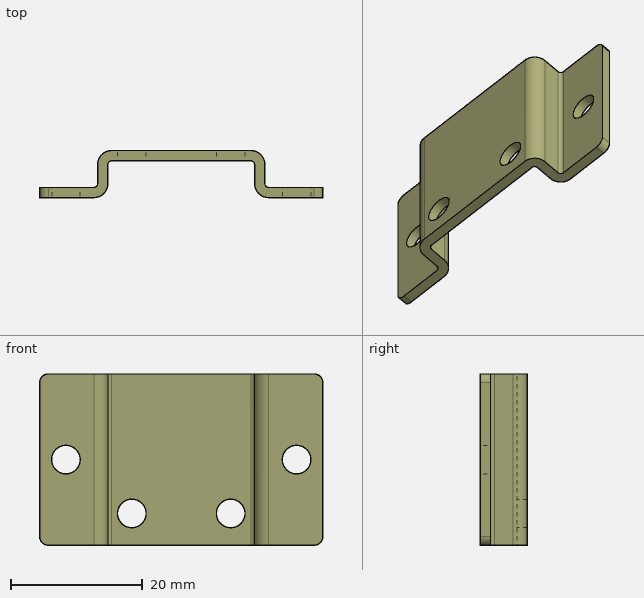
import cadquery as cq

length = 43.0
depth = 7.2
height = 26.0
thickness = 1.6

inner_bend_radius = 0.55
outer_bend_radius = inner_bend_radius + thickness
channel_outer_width = 25.4

corner_radius = 1.35
hole_diameter = 4.3
flange_hole_spacing = 35.0
web_hole_spacing = 15.0
web_hole_drop = 8.15

half_length = length / 2
leg_outer_x = channel_outer_width / 2
leg_inner_x = leg_outer_x - thickness


def block(x_min, x_max, y_min, y_max):
    """Full-height block centred on Z = 0."""
    return (
        cq.Workplane("XY")
        .box(x_max - x_min, y_max - y_min, height, centered=(False, False, True))
        .translate((x_min, y_min, 0))
    )


def make_sheet():
    """Hat section: two flanges at low Y joined by a raised web."""
    web = block(-leg_outer_x, leg_outer_x, 0, depth)
    flanges = block(-half_length, half_length, 0, thickness)
    channel = block(-leg_inner_x, leg_inner_x, 0, depth - thickness)
    return web.union(flanges).cut(channel)


def round_bends(sheet):
    """Round both sides of every bend so the sheet keeps its thickness."""
    bends = [
        (leg_outer_x, thickness, inner_bend_radius),
        (leg_inner_x, 0, outer_bend_radius),
        (leg_outer_x, depth, outer_bend_radius),
        (leg_inner_x, depth - thickness, inner_bend_radius),
    ]
    for x, y, radius in bends:
        for side in (-1, 1):
            edge = cq.selectors.NearestToPointSelector((side * x, y, 0))
            sheet = sheet.edges("|Z").edges(edge).fillet(radius)
    return sheet


def round_flange_corners(sheet):
    """Round the four outer corners of the flanges."""
    end_faces = sheet.faces("<X or >X")
    return end_faces.edges("|Y").fillet(corner_radius)


def make_holes():
    """Cutters along Y for the two flange holes and the two web holes."""
    points = []
    for side in (-1, 1):
        points.append((side * flange_hole_spacing / 2, 0))
        points.append((side * web_hole_spacing / 2, -web_hole_drop))
    return cq.Workplane("XZ").pushPoints(points).circle(hole_diameter / 2).extrude(-depth)


result = round_flange_corners(round_bends(make_sheet())).cut(make_holes())